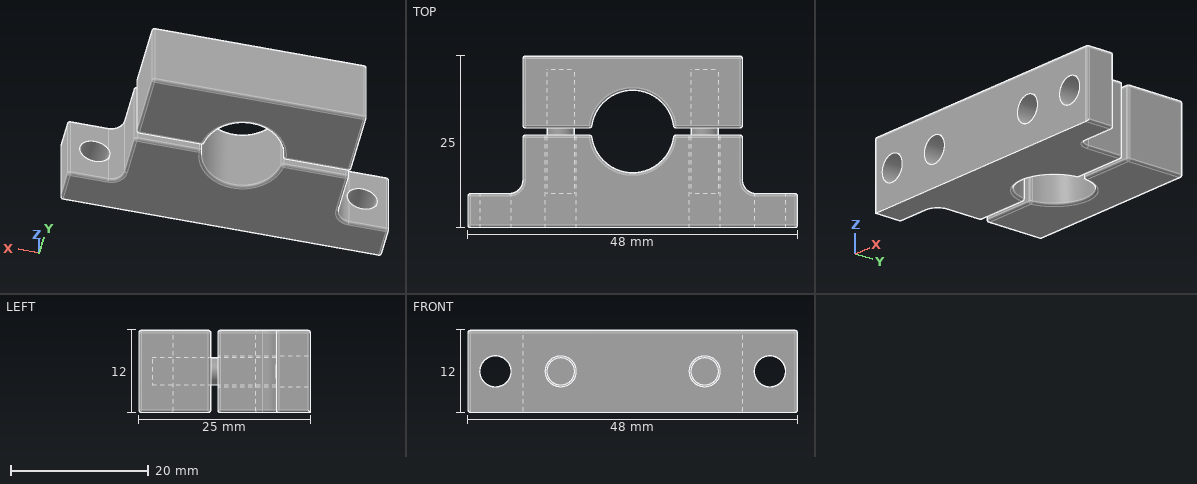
import cadquery as cq

BASE_LENGTH = 48.0
THICKNESS = 12.0
FLANGE_DEPTH = 5.0
BLOCK_WIDTH = 32.0
INNER_CORNER_RADIUS = 1.95
EDGE_RADIUS = 0.4

TOTAL_DEPTH = 25.0
BORE_DIAMETER = 12.0
SPLIT_Y = 14.0
SPLIT_GAP = 1.0
BASE_TOP_Y = SPLIT_Y - SPLIT_GAP / 2
CAP_BOTTOM_Y = SPLIT_Y + SPLIT_GAP / 2

HOLE_DIAMETER = 4.5
MOUNT_HOLE_SPACING = 40.0

PIN_DIAMETER = 4.0
PIN_SPACING = 21.0
PIN_START_Y = FLANGE_DEPTH
PIN_END_Y = 2 * SPLIT_Y - PIN_START_Y


def slab(width, y_start, y_end):
    """Full-thickness block centred on X and Z, between two Y positions."""
    depth = y_end - y_start
    return cq.Workplane("XY").center(0, y_start + depth / 2).box(width, depth, THICKNESS)


def rod(diameter, x, y_start, y_end):
    """Cylinder parallel to Y at mid-thickness."""
    start = cq.Vector(x, y_start, 0)
    along_y = cq.Vector(0, 1, 0)
    return cq.Workplane(cq.Solid.makeCylinder(diameter / 2, y_end - y_start, start, along_y))


def shaft_bore():
    return cq.Workplane("XY").center(0, SPLIT_Y).circle(BORE_DIAMETER / 2).extrude(THICKNESS, both=True)


def mirrored(spacing):
    """X positions of a pair placed symmetrically about the middle."""
    return (-spacing / 2, spacing / 2)


def make_base_blank():
    """Flange and block, with filleted inner corners and the lower half of the bore."""
    flange = slab(BASE_LENGTH, 0, FLANGE_DEPTH)
    blank = flange.union(slab(BLOCK_WIDTH, 0, BASE_TOP_Y))
    for x in mirrored(BLOCK_WIDTH):
        inner_corner = cq.selectors.NearestToPointSelector((x, FLANGE_DEPTH, 0))
        blank = blank.edges("|Z").edges(inner_corner).fillet(INNER_CORNER_RADIUS)
    return blank.cut(shaft_bore())


def round_base_edges(blank):
    """Round every sharp edge except the lower front one."""
    upper_outline = blank.faces(">Z").edges()
    lower_outline = blank.faces("<Z").edges("not <Y")
    flange_corners = blank.faces("<X or >X").edges("|Z")
    gap_corners = blank.faces(">Y").edges("|Z")
    sharp_edges = upper_outline.add(lower_outline).add(flange_corners).add(gap_corners)
    return sharp_edges.fillet(EDGE_RADIUS)


def make_base():
    base = round_base_edges(make_base_blank())
    for x in mirrored(MOUNT_HOLE_SPACING):
        base = base.cut(rod(HOLE_DIAMETER, x, 0, BASE_TOP_Y))
    for x in mirrored(PIN_SPACING):
        base = base.cut(rod(HOLE_DIAMETER, x, 0, BASE_TOP_Y))
    return base


def make_cap():
    cap = slab(BLOCK_WIDTH, CAP_BOTTOM_Y, TOTAL_DEPTH).cut(shaft_bore())
    cap = cap.edges().fillet(EDGE_RADIUS)
    for x in mirrored(PIN_SPACING):
        cap = cap.cut(rod(PIN_DIAMETER, x, CAP_BOTTOM_Y, PIN_END_Y))
    return cap


def make_pin(x):
    return rod(PIN_DIAMETER, x, PIN_START_Y, PIN_END_Y)


base = make_base()
cap = make_cap()
pins = [make_pin(x) for x in mirrored(PIN_SPACING)]
result = cq.Compound.makeCompound([base.val(), cap.val(), *[pin.val() for pin in pins]])